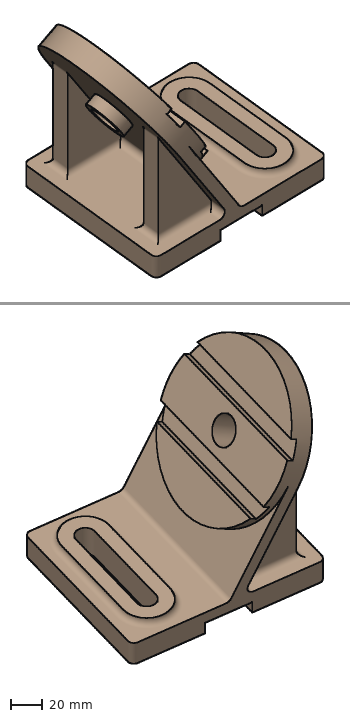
import cadquery as cq
import math

width = 125.9
base_length = 148.1
base_height = 18.0
corner_radius = 4.6
fillet_radius = 4.6
channel_width = 36.0
channel_depth = 9.0

pad_y = -29.0
pad_radius = 18.0
pad_height = fillet_radius
slot_radius = 7.1
slot_centres = 71.8

tilt = 60
disc_radius = width / 2
disc_thickness = 18.0
support_thickness = disc_thickness / 2
overall_length = 158.6
overall_height = 154.6
boss_radius = 15.9
boss_height = 9.0
hole_radius = 11.1
groove_near = 18.0
groove_width = 12.8
groove_depth = 4.8

rib_thickness = 14.0
rib_inset = 13.0
rib_setback = 14.0

cos_tilt = math.cos(math.radians(tilt))
sin_tilt = math.sin(math.radians(tilt))

centre_y = -overall_length + disc_radius * cos_tilt
centre_z = overall_height - disc_radius * sin_tilt - disc_thickness * cos_tilt

disc_plane = cq.Plane(
    origin=(0, centre_y, centre_z), xDir=(1, 0, 0), normal=(0, sin_tilt, cos_tilt)
)


def underside_y(z):
    """Y of the tilted underside at height z."""
    return centre_y - (z - centre_z) * cos_tilt / sin_tilt


def make_base():
    base = cq.Workplane("XY").box(width, base_length, base_height, centered=(True, True, False))
    base = base.edges("|Z").fillet(corner_radius)
    channel = cq.Workplane("XY").box(width, channel_width, channel_depth, centered=(True, True, False))
    return base.cut(channel).translate((0, -base_length / 2, 0))


def make_support():
    """Tilted plate up to the disc centreline, flared where it meets the top face of the base."""
    root_z = base_height / 2
    lower_y = underside_y(base_height)
    upper_y = lower_y + support_thickness / sin_tilt
    lower_tangent = fillet_radius / math.tan(math.radians(tilt / 2))
    upper_tangent = fillet_radius * math.tan(math.radians(tilt / 2))
    lower_tangent_z = base_height + lower_tangent * sin_tilt
    upper_tangent_z = base_height + upper_tangent * sin_tilt
    return (
        cq.Workplane("YZ")
        .moveTo(lower_y - lower_tangent, root_z)
        .lineTo(lower_y - lower_tangent, base_height)
        .radiusArc((underside_y(lower_tangent_z), lower_tangent_z), -fillet_radius)
        .lineTo(centre_y, centre_z)
        .lineTo(centre_y + support_thickness * sin_tilt, centre_z + support_thickness * cos_tilt)
        .lineTo(upper_y - upper_tangent * cos_tilt, upper_tangent_z)
        .radiusArc((upper_y + upper_tangent, base_height), -fillet_radius)
        .lineTo(upper_y + upper_tangent, root_z)
        .close()
        .extrude(width / 2, both=True)
    )


def make_ribs():
    """Ribs whose feet flare on three sides, with mitred corners, and whose tips blend into the support."""
    front_y = -base_length + rib_setback
    root_z = base_height / 2
    foot_top = base_height + fillet_radius
    foot_y = front_y - fillet_radius
    tip_z = centre_z + (centre_y - front_y) * sin_tilt / cos_tilt
    tip_tangent = fillet_radius * math.tan(math.radians((90 - tilt) / 2))
    tip_end_z = tip_z + tip_tangent * sin_tilt
    side = (
        cq.Workplane("YZ")
        .moveTo(underside_y(root_z), root_z)
        .lineTo(foot_y, root_z)
        .lineTo(foot_y, base_height)
        .radiusArc((front_y, foot_top), -fillet_radius)
        .lineTo(front_y, tip_z - tip_tangent)
        .tangentArcPoint((underside_y(tip_end_z), tip_end_z), relative=False)
        .close()
        .extrude(width / 2, both=True)
    )
    outer_x = width / 2 - rib_inset
    inner_x = outer_x - rib_thickness
    front = (
        cq.Workplane("XZ")
        .moveTo(inner_x - fillet_radius, root_z)
        .lineTo(inner_x - fillet_radius, base_height)
        .radiusArc((inner_x, foot_top), -fillet_radius)
        .lineTo(inner_x, overall_height)
        .lineTo(outer_x, overall_height)
        .lineTo(outer_x, foot_top)
        .radiusArc((outer_x + fillet_radius, base_height), -fillet_radius)
        .lineTo(outer_x + fillet_radius, root_z)
        .close()
        .extrude(overall_length)
    )
    rib = side.intersect(front)
    return rib.union(rib.mirror("YZ"))


def stadium(radius, height):
    """Solid with a round-ended outline around the slot centres."""
    length = slot_centres + 2 * radius
    return cq.Workplane("XY").center(0, pad_y).slot2D(length, 2 * radius).extrude(height)


def make_base_with_pad():
    pad_top = base_height + pad_height
    tall_top = pad_top + fillet_radius
    body = make_base().union(stadium(pad_radius, tall_top))
    around_pad = cq.selectors.BoxSelector(
        (-width / 2, pad_y - pad_radius - fillet_radius, base_height - fillet_radius / 2),
        (width / 2, pad_y + pad_radius + fillet_radius, base_height + fillet_radius / 2),
        boundingbox=True,
    )
    body = body.edges(around_pad).fillet(fillet_radius)
    trim = stadium(pad_radius + fillet_radius, fillet_radius).translate((0, 0, pad_top))
    slot = stadium(slot_radius, pad_top)
    return body.cut(trim).cut(slot)


def add_disc(body):
    disc = cq.Workplane(disc_plane).circle(disc_radius).extrude(disc_thickness)
    groove_centre = groove_near + groove_width / 2
    grooves = (
        cq.Workplane(disc_plane)
        .workplane(offset=disc_thickness - groove_depth)
        .pushPoints([(0, -groove_centre), (0, groove_centre)])
        .rect(width, groove_width)
        .extrude(groove_depth)
    )
    boss = cq.Workplane(disc_plane).circle(boss_radius).extrude(-boss_height)
    hole = (
        cq.Workplane(disc_plane)
        .workplane(offset=-boss_height)
        .circle(hole_radius)
        .extrude(boss_height + disc_thickness)
    )
    return body.union(disc.cut(grooves)).union(boss).cut(hole)


frame = make_base_with_pad().union(make_support()).union(make_ribs())
result = add_disc(frame)